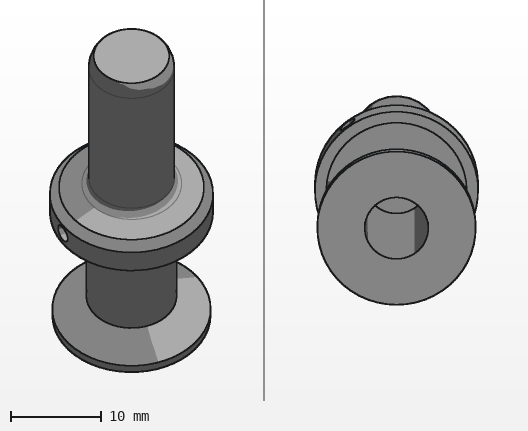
import cadquery as cq
import math

foot_radius = 8.75
neck_radius = 5.0
flange_radius = 18.0 / 2
pin_radius = 4.75
underside_radius = 7.75
shoulder_radius = 8.0

total_height = 41.2
foot_rim_height = 1.05
neck_bottom = 3.15
neck_top = 14.85
flange_bottom = 16.45
flange_top = 19.32
shoulder_height = 20.3

shoulder_angle = math.radians(15)
root_radius = 1.05

tip_radius = 3.0
tip_height = 1.77

bore_radius = 3.5
bore_depth = 20.0

cross_hole_radius = 1.0
cross_hole_height = 18.0


def arc_point(center, radius, angle):
    """Point (radius, height) on an arc of the profile."""
    return (center[0] + radius * math.cos(angle), center[1] + radius * math.sin(angle))


root_end_angle = 1.5 * math.pi - shoulder_angle
root_center_x = pin_radius + root_radius
root_start_x = root_center_x + root_radius * math.cos(root_end_angle)
root_start_z = shoulder_height + (shoulder_radius - root_start_x) * math.tan(shoulder_angle)
root_center = (root_center_x, root_start_z - root_radius * math.sin(root_end_angle))

tip_center = (pin_radius - tip_radius, total_height - tip_height)
tip_angle = math.asin(tip_height / tip_radius)
tip_end = arc_point(tip_center, tip_radius, tip_angle)

body = (
    cq.Workplane("XZ")
    .moveTo(0, 0)
    .lineTo(foot_radius, 0)
    .lineTo(foot_radius, foot_rim_height)
    .lineTo(neck_radius, neck_bottom)
    .lineTo(neck_radius, neck_top)
    .lineTo(underside_radius, flange_bottom)
    .lineTo(flange_radius, flange_bottom)
    .lineTo(flange_radius, flange_top)
    .lineTo(shoulder_radius, shoulder_height)
    .lineTo(root_start_x, root_start_z)
    .threePointArc(
        arc_point(root_center, root_radius, (root_end_angle + math.pi) / 2),
        (pin_radius, root_center[1]),
    )
    .lineTo(pin_radius, tip_center[1])
    .threePointArc(arc_point(tip_center, tip_radius, tip_angle / 2), tip_end)
    .lineTo(0, total_height)
    .close()
    .revolve(360, (0, 0, 0), (0, 1, 0))
)

bore = cq.Workplane("XY").circle(bore_radius).extrude(bore_depth)

cross_hole = (
    cq.Workplane("XZ", origin=(0, 0, cross_hole_height))
    .circle(cross_hole_radius)
    .extrude(flange_radius)
)

result = body.cut(bore).cut(cross_hole)